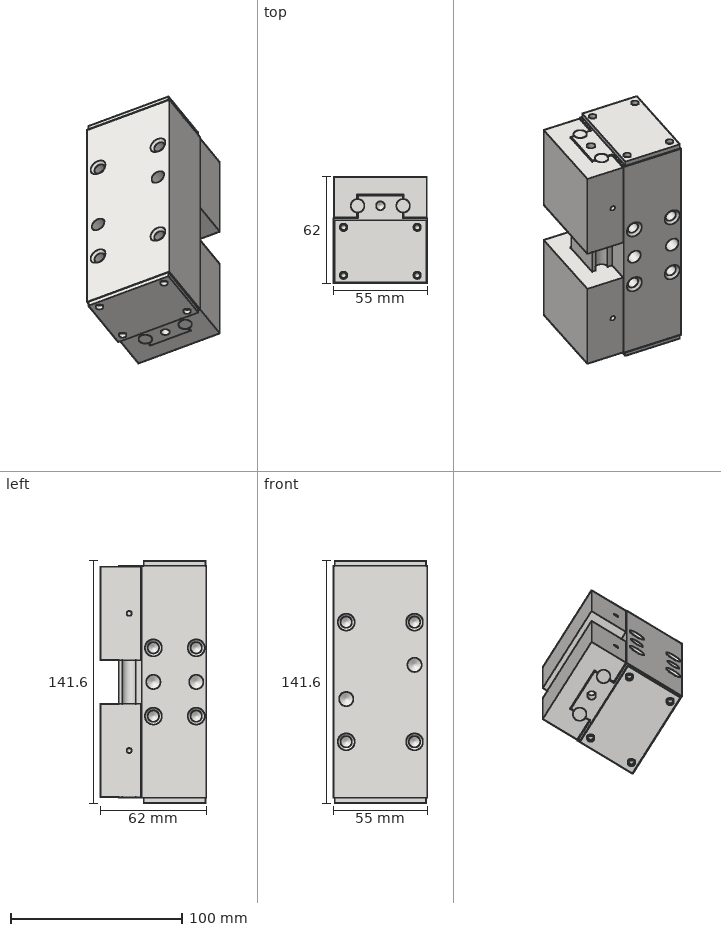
import cadquery as cq
import math


TOTAL_LENGTH = 141.6
TOTAL_DEPTH = 62.0

BODY_WIDTH = 55.0
BODY_DEPTH = 38.0
PLATE_THICKNESS = 3.0
PLATE_MARGIN = 0.7
PLATE_FRONT_MARGIN = 0.4
PLATE_BACK_MARGIN = 1.3
BODY_LENGTH = TOTAL_LENGTH - 2 * PLATE_THICKNESS

RAIL_WIDTH = 26.3
RAIL_BACK = 51.3
ROD_DIAMETER = 7.9
ROD_X = 13.3
ROD_Y = 45.2
ROD_PROTRUSION = 0.1
RUNNING_GAP = 0.4
SLIDER_WIDTH = 54.4
SLIDER_OPENING = 25.5
SLIDER_END_INSET = 0.4
SLIDER_LENGTH = (BODY_LENGTH - SLIDER_OPENING) / 2 - SLIDER_END_INSET
SLIDER_CENTRE_Z = (SLIDER_OPENING + SLIDER_LENGTH) / 2

DRILL_POINT_ANGLE = 118.0
MOUNT_DIAMETER = 6.7
MOUNT_SINK_DIAMETER = 9.9
MOUNT_DEPTH = 14.2
DOWEL_DIAMETER = 8.4
DOWEL_DEPTH = 11.3
HOLE_STEP = 20.0

FRONT_HOLE_X = HOLE_STEP
FRONT_MOUNT_Z = 35.0
FRONT_DOWEL_Z = HOLE_STEP / 2

SIDE_HOLE_YS = (6.0, 31.0)
SIDE_MOUNT_Z = HOLE_STEP

PORT_DIAMETER = 3.0
PORT_DEPTH = 7.1
PORT_Z = 40.0

PLATE_SCREW_DIAMETER = 4.4
PLATE_THREAD_DIAMETER = 3.3
PLATE_THREAD_DEPTH = 8.5
PLATE_SCREW_X = 21.5
PLATE_SCREW_YS = (4.5, 32.5)

RAIL_HOLE_DIAMETER = 5.1
RAIL_HOLE_DEPTH = 11.3


def block(width, y_front, y_back, length, z_centre=0.0):
    """Box centred on X = 0, spanning the given Y range."""
    centre = (0, (y_front + y_back) / 2, z_centre)
    return cq.Workplane("XY").box(width, y_back - y_front, length).translate(centre)


def cylinder(start, direction, diameter, depth):
    """Cylinder that runs from a start point along a direction."""
    return cq.Workplane(cq.Solid.makeCylinder(diameter / 2, depth, cq.Vector(*start), cq.Vector(*direction)))


def drill(start, direction, diameter, depth):
    """Blind hole with a conical drill point beyond its full-diameter depth."""
    radius = diameter / 2
    point_length = radius / math.tan(math.radians(DRILL_POINT_ANGLE / 2))
    axis = cq.Vector(*direction)
    tip_base = cq.Vector(*start) + axis * depth
    tip = cq.Workplane(cq.Solid.makeCone(radius, 0, point_length, tip_base, axis))
    return cylinder(start, direction, diameter, depth).union(tip)


def mounting_hole(start, direction):
    """Blind hole with a 90 degree countersink."""
    sink_depth = (MOUNT_SINK_DIAMETER - MOUNT_DIAMETER) / 2
    sink = cq.Solid.makeCone(
        MOUNT_SINK_DIAMETER / 2, MOUNT_DIAMETER / 2, sink_depth, cq.Vector(*start), cq.Vector(*direction)
    )
    return drill(start, direction, MOUNT_DIAMETER, MOUNT_DEPTH).union(cq.Workplane(sink))


def rod_pair(length, z_centre=0.0):
    """Pair of cylinders on the two rod axes."""
    rods = cq.Workplane()
    for x in (-ROD_X, ROD_X):
        rods = rods.union(cylinder((x, ROD_Y, z_centre - length / 2), (0, 0, 1), ROD_DIAMETER, length))
    return rods


def make_body():
    """Body with an end plate on each end and the grooved rail along its back."""
    body = block(BODY_WIDTH, 0, BODY_DEPTH, BODY_LENGTH)
    plates = block(
        BODY_WIDTH - 2 * PLATE_MARGIN, PLATE_FRONT_MARGIN, BODY_DEPTH - PLATE_BACK_MARGIN, TOTAL_LENGTH
    )
    rail = block(RAIL_WIDTH, BODY_DEPTH, RAIL_BACK, BODY_LENGTH)
    return body.union(plates).union(rail).cut(rod_pair(BODY_LENGTH))


def cut_front_holes(part):
    inward = (0, 1, 0)
    for x in (-FRONT_HOLE_X, FRONT_HOLE_X):
        for z in (-FRONT_MOUNT_Z, FRONT_MOUNT_Z):
            part = part.cut(mounting_hole((x, 0, z), inward))
    for side in (-1, 1):
        start = (side * FRONT_HOLE_X, 0, side * FRONT_DOWEL_Z)
        part = part.cut(drill(start, inward, DOWEL_DIAMETER, DOWEL_DEPTH))
    return part


def cut_side_holes(part):
    inward = (1, 0, 0)
    face_x = -BODY_WIDTH / 2
    for y in SIDE_HOLE_YS:
        for z in (-SIDE_MOUNT_Z, SIDE_MOUNT_Z):
            part = part.cut(mounting_hole((face_x, y, z), inward))
        part = part.cut(drill((face_x, y, 0), inward, DOWEL_DIAMETER, DOWEL_DEPTH))
    return part


def cut_end_holes(part):
    """Plate screw holes and the rail hole, on both ends."""
    for end in (-1, 1):
        inward = (0, 0, -end)
        for x in (-PLATE_SCREW_X, PLATE_SCREW_X):
            for y in PLATE_SCREW_YS:
                plate_face = (x, y, end * TOTAL_LENGTH / 2)
                body_end = (x, y, end * BODY_LENGTH / 2)
                part = part.cut(cylinder(plate_face, inward, PLATE_SCREW_DIAMETER, PLATE_THICKNESS))
                part = part.cut(drill(body_end, inward, PLATE_THREAD_DIAMETER, PLATE_THREAD_DEPTH))
        rail_end = (0, ROD_Y, end * BODY_LENGTH / 2)
        part = part.cut(drill(rail_end, inward, RAIL_HOLE_DIAMETER, RAIL_HOLE_DEPTH))
    return part


def make_sliders():
    """Two sliders that straddle the rail with a running gap, each with a port in its side."""
    channel = block(RAIL_WIDTH + 2 * RUNNING_GAP, BODY_DEPTH, RAIL_BACK + RUNNING_GAP, BODY_LENGTH)
    sliders = cq.Workplane()
    for z in (-SLIDER_CENTRE_Z, SLIDER_CENTRE_Z):
        sliders = sliders.union(block(SLIDER_WIDTH, BODY_DEPTH + RUNNING_GAP, TOTAL_DEPTH, SLIDER_LENGTH, z))
    sliders = sliders.cut(channel)

    inward = (1, 0, 0)
    face_x = -SLIDER_WIDTH / 2
    upper_depth = SLIDER_WIDTH / 2 - ROD_X
    sliders = sliders.cut(cylinder((face_x, ROD_Y, PORT_Z), inward, PORT_DIAMETER, upper_depth))
    return sliders.cut(drill((face_x, ROD_Y, -PORT_Z), inward, PORT_DIAMETER, PORT_DEPTH))


def make_rods():
    """Guide rods held in each slider, running in the rail grooves and standing just proud at the outer end."""
    rod_length = SLIDER_LENGTH + ROD_PROTRUSION
    rods = cq.Workplane()
    for end in (-1, 1):
        rods = rods.union(rod_pair(rod_length, end * (SLIDER_OPENING + rod_length) / 2))
    return rods


body = cut_end_holes(cut_side_holes(cut_front_holes(make_body())))
result = body.union(make_sliders()).union(make_rods())